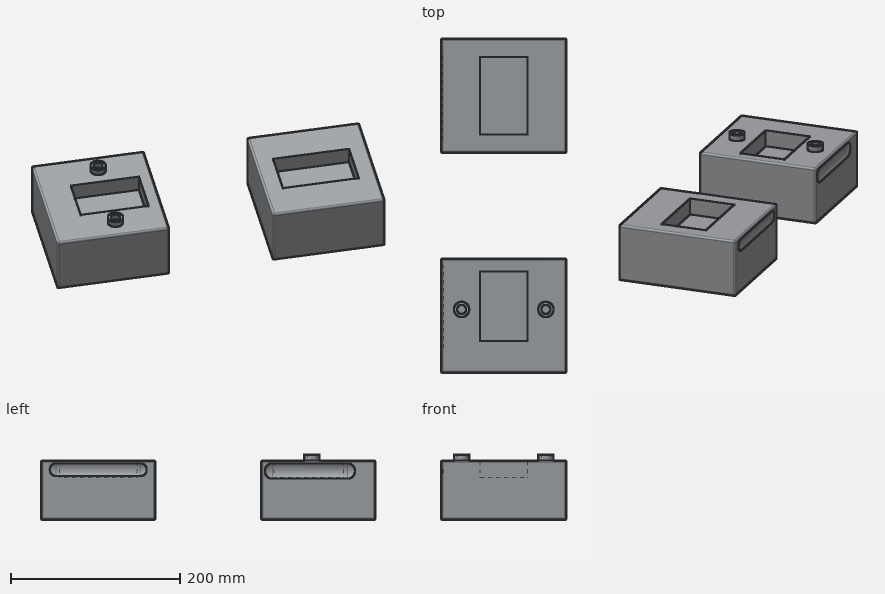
import cadquery as cq
import math

TOTAL_LENGTH = 395.0
TOTAL_HEIGHT = 77.0
BOX_WIDTH = 148.0
BOX_LENGTH = 135.0
BOX_HEIGHT = 70.0
EDGE_RADIUS = 2.5
BOX_SPACING = TOTAL_LENGTH - BOX_LENGTH
FRONT_CENTER_Y = -BOX_SPACING / 2
REAR_CENTER_Y = BOX_SPACING / 2

POCKET_WIDTH = 56.0
POCKET_DEPTH = 20.0
FRONT_POCKET_LENGTH = 82.0
FRONT_POCKET_OFFSET = 11.0
REAR_POCKET_LENGTH = 91.5
REAR_POCKET_OFFSET = 0.0

GROOVE_TOP_GAP = 3.0
GROOVE_ROD_DIAMETER = 30.0
FRONT_GROOVE_WIDTH = 18.0
FRONT_GROOVE_LENGTH = 106.5
FRONT_GROOVE_OFFSET = 10.0
REAR_GROOVE_WIDTH = 15.0
REAR_GROOVE_LENGTH = 114.5
REAR_GROOVE_OFFSET = 0.0

BOSS_DIAMETER = 18.0
BOSS_HOLE_DIAMETER = 10.5
BOSS_HEIGHT = TOTAL_HEIGHT - BOX_HEIGHT
BOSS_SPACING = 99.5
BOSS_OFFSET = 7.5


def rounded_box(center_y):
    """Box standing on Z = 0 with every outer edge rounded."""
    box = cq.Workplane("XY").box(BOX_WIDTH, BOX_LENGTH, BOX_HEIGHT, centered=(True, True, False))
    return box.edges().fillet(EDGE_RADIUS).translate((0, center_y, 0))


def pocket_cutter(center_y, length):
    """Block that sinks a flat-bottomed pocket into the top face."""
    block = cq.Workplane("XY").box(POCKET_WIDTH, length, POCKET_DEPTH, centered=(True, True, False))
    return block.translate((0, center_y, BOX_HEIGHT - POCKET_DEPTH))


def groove_cutter(center_y, length, width):
    """Ball-ended rod along Y, offset from the -X face so it opens to the given width."""
    radius = GROOVE_ROD_DIAMETER / 2
    straight_length = length - width
    axis_offset = math.sqrt(radius**2 - (width / 2) ** 2)
    rod = cq.Workplane("XZ").circle(radius).extrude(straight_length / 2, both=True)
    for end_y in (-straight_length / 2, straight_length / 2):
        rod = rod.union(cq.Workplane("XY").sphere(radius).translate((0, end_y, 0)))
    axis_x = -BOX_WIDTH / 2 - axis_offset
    axis_z = BOX_HEIGHT - GROOVE_TOP_GAP - width / 2
    return rod.translate((axis_x, center_y, axis_z))


def add_bosses(box, center_y):
    """Two ring-shaped bosses, their holes ending at the top face."""
    for x in (-BOSS_SPACING / 2, BOSS_SPACING / 2):
        boss = (
            cq.Workplane("XY", origin=(x, center_y, BOX_HEIGHT))
            .circle(BOSS_DIAMETER / 2)
            .circle(BOSS_HOLE_DIAMETER / 2)
            .extrude(BOSS_HEIGHT)
        )
        box = box.union(boss)
    return box


def make_front_box():
    box = rounded_box(FRONT_CENTER_Y)
    box = box.cut(pocket_cutter(FRONT_CENTER_Y + FRONT_POCKET_OFFSET, FRONT_POCKET_LENGTH))
    groove_y = FRONT_CENTER_Y + FRONT_GROOVE_OFFSET
    box = box.cut(groove_cutter(groove_y, FRONT_GROOVE_LENGTH, FRONT_GROOVE_WIDTH))
    return add_bosses(box, FRONT_CENTER_Y + BOSS_OFFSET)


def make_rear_box():
    box = rounded_box(REAR_CENTER_Y)
    box = box.cut(pocket_cutter(REAR_CENTER_Y + REAR_POCKET_OFFSET, REAR_POCKET_LENGTH))
    groove_y = REAR_CENTER_Y + REAR_GROOVE_OFFSET
    return box.cut(groove_cutter(groove_y, REAR_GROOVE_LENGTH, REAR_GROOVE_WIDTH))


front_box = make_front_box()
rear_box = make_rear_box()
result = cq.Compound.makeCompound([front_box.val(), rear_box.val()])